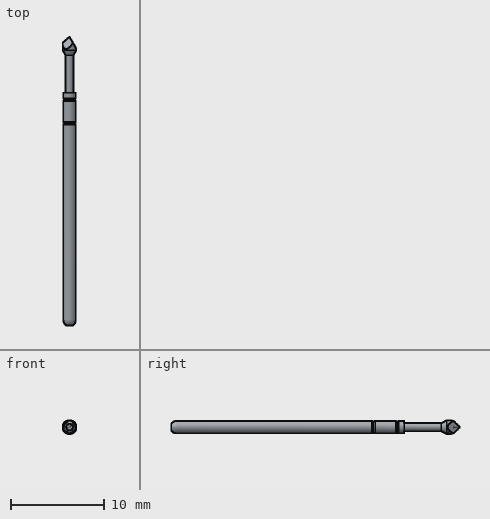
import cadquery as cq
import math

TOTAL_LENGTH = 31.0
OVERCUT = 1.0

HEAD_DIAMETER = 1.5
STEM_DIAMETER = 0.9
HEAD_CYLINDER_END = 1.43
HEAD_CONE_END = 1.98
POINT_SIDES = 3
POINT_FACE_ANGLE = 30.0

BARREL_DIAMETER = 1.36
BARREL_START = 6.0
GROOVE_DEPTH = 0.08
FRONT_GROOVE_CENTER = 6.74
FRONT_GROOVE_WIDTH = 0.32
REAR_GROOVE_CENTER = 9.28
REAR_GROOVE_WIDTH = 0.36
TAIL_ROUND_LENGTH = 0.6
TAIL_FLAT_DIAMETER = 0.7

head_radius = HEAD_DIAMETER / 2
stem_radius = STEM_DIAMETER / 2
barrel_radius = BARREL_DIAMETER / 2
tail_flat_radius = TAIL_FLAT_DIAMETER / 2
tip_y = TOTAL_LENGTH / 2


def at(radius, depth):
    """Point of the turned profile at a radius and a depth behind the tip."""
    return (radius, tip_y - depth)


def add_groove(profile, center, width):
    """Extend the barrel outline through a V-shaped groove."""
    return (
        profile.lineTo(*at(barrel_radius, center - width / 2))
        .lineTo(*at(barrel_radius - GROOVE_DEPTH, center))
        .lineTo(*at(barrel_radius, center + width / 2))
    )


def round_tail(profile):
    """Finish the barrel with an arc tangent to its side, ending on a flat."""
    drop = barrel_radius - tail_flat_radius
    arc_radius = (TAIL_ROUND_LENGTH**2 + drop**2) / (2 * drop)
    half_sweep = math.asin(TAIL_ROUND_LENGTH / arc_radius) / 2
    round_start = TOTAL_LENGTH - TAIL_ROUND_LENGTH
    middle = at(
        barrel_radius - arc_radius * (1 - math.cos(half_sweep)),
        round_start + arc_radius * math.sin(half_sweep),
    )
    profile = profile.lineTo(*at(barrel_radius, round_start))
    return profile.threePointArc(middle, at(tail_flat_radius, TOTAL_LENGTH))


def turned_body():
    """Revolve plunger and barrel; the head is still a plain cylinder."""
    profile = (
        cq.Workplane("XY")
        .moveTo(*at(0, 0))
        .lineTo(*at(head_radius, 0))
        .lineTo(*at(head_radius, HEAD_CYLINDER_END))
        .lineTo(*at(stem_radius, HEAD_CONE_END))
        .lineTo(*at(stem_radius, BARREL_START))
        .lineTo(*at(barrel_radius, BARREL_START))
    )
    profile = add_groove(profile, FRONT_GROOVE_CENTER, FRONT_GROOVE_WIDTH)
    profile = add_groove(profile, REAR_GROOVE_CENTER, REAR_GROOVE_WIDTH)
    profile = round_tail(profile).lineTo(*at(0, TOTAL_LENGTH)).close()
    return profile.revolve(360, (0, 0, 0), (0, 1, 0))


def point_cutter():
    """Wedge outside the pyramid face that looks toward +X."""
    reach = head_radius + OVERCUT
    slope = math.tan(math.radians(POINT_FACE_ANGLE))
    return (
        cq.Workplane("XY")
        .moveTo(*at(0, 0))
        .lineTo(*at(reach, reach / slope))
        .lineTo(*at(reach, 0))
        .close()
        .extrude(reach, both=True)
    )


def cut_point(body):
    """Grind the head to a pyramid with one face toward +X, one edge toward -X."""
    for side in range(POINT_SIDES):
        angle = side * 360 / POINT_SIDES
        body = body.cut(point_cutter().rotate((0, 0, 0), (0, 1, 0), angle))
    return body


result = cut_point(turned_body())